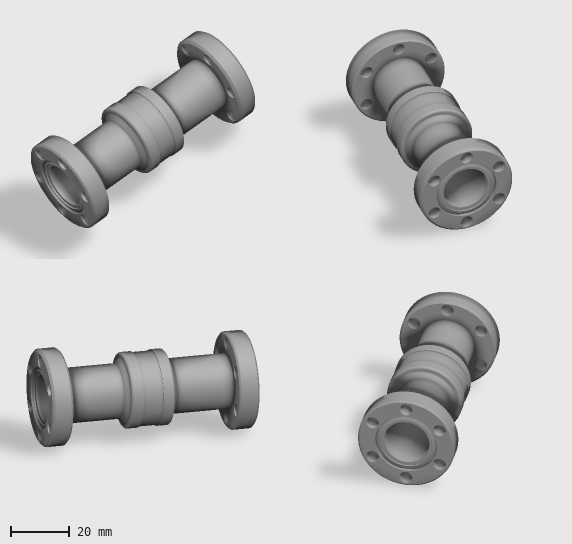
import cadquery as cq

LENGTH = 73.4
FLANGE_RADIUS = 16.9

FRONT_THICKNESS = 7.1
REAR_THICKNESS = 7.35
FRONT_CHAMFER = 0.6
REAR_CHAMFER = 0.8

RECESS_RADIUS = 10.8
RECESS_DEPTH = 1.0
KNIFE_RADIUS = 9.2
KNIFE_DEPTH = 0.45
SEAT_DEPTH = 1.0

BOLT_COUNT = 6
BOLT_CIRCLE_RADIUS = 13.5
BOLT_HOLE_DIAMETER = 4.4

TUBE_RADIUS = 9.55
BORE_RADIUS = 7.9

COLLAR_LENGTH = 15.4
BAND_WIDTH = 4.2
BAND_RADIUS = 13.1
BAND_FILLET = 0.9
WAIST_RADIUS = 12.8
CONE_LENGTH = 1.8
CONE_BASE_RADIUS = TUBE_RADIUS + CONE_LENGTH

FRONT_FACE = -LENGTH / 2
REAR_FACE = LENGTH / 2
COLLAR_CENTER = (FRONT_THICKNESS - REAR_THICKNESS) / 2


def cylinder(radius, start, length):
    """Solid cylinder along +Y, starting at the given Y position."""
    return cq.Workplane("XZ", origin=(0, start, 0)).circle(radius).extrude(-length)


def flange(start, thickness, chamfer):
    """Flange disc with both outer edges chamfered."""
    return cylinder(FLANGE_RADIUS, start, thickness).edges().chamfer(chamfer)


def collar_cone(direction):
    """Cone running from a collar end face down to the tube, towards +Y or -Y."""
    base = COLLAR_CENTER + direction * COLLAR_LENGTH / 2
    tip = base + direction * CONE_LENGTH
    outline = [(0, base), (CONE_BASE_RADIUS, base), (TUBE_RADIUS, tip), (0, tip)]
    return cq.Workplane("XY").polyline(outline).close().revolve(360, (0, 0), (0, 1))


def collar():
    """Two bands with rounded outer edges, the waist between them and the end cones."""
    start = COLLAR_CENTER - COLLAR_LENGTH / 2
    end = COLLAR_CENTER + COLLAR_LENGTH / 2
    front_band = cylinder(BAND_RADIUS, start, BAND_WIDTH).faces("<Y").edges().fillet(BAND_FILLET)
    rear_band = cylinder(BAND_RADIUS, end - BAND_WIDTH, BAND_WIDTH).faces(">Y").edges().fillet(BAND_FILLET)
    waist = cylinder(WAIST_RADIUS, start + BAND_WIDTH, COLLAR_LENGTH - 2 * BAND_WIDTH)
    body = waist.union(front_band).union(rear_band)
    return body.union(collar_cone(-1)).union(collar_cone(1))


def seal_recess(face, inward):
    """Cutter for a recess with a knife-edge ring; inward is the Y direction into the part."""
    outline = [
        (0, face),
        (RECESS_RADIUS, face),
        (RECESS_RADIUS, face + inward * RECESS_DEPTH),
        (KNIFE_RADIUS, face + inward * KNIFE_DEPTH),
        (KNIFE_RADIUS, face + inward * SEAT_DEPTH),
        (0, face + inward * SEAT_DEPTH),
    ]
    return cq.Workplane("XY").polyline(outline).close().revolve(360, (0, 0), (0, 1))


def bolt_holes():
    """Cutters for the bolt holes of both flanges, with one hole at the top."""
    start_angle = 90
    centers = cq.Workplane("XZ").polarArray(BOLT_CIRCLE_RADIUS, start_angle, 360, BOLT_COUNT)
    return centers.circle(BOLT_HOLE_DIAMETER / 2).extrude(LENGTH / 2, both=True)


flanges = flange(FRONT_FACE, FRONT_THICKNESS, FRONT_CHAMFER).union(
    flange(REAR_FACE - REAR_THICKNESS, REAR_THICKNESS, REAR_CHAMFER)
)
flanges = flanges.cut(bolt_holes())

result = flanges.union(cylinder(TUBE_RADIUS, FRONT_FACE, LENGTH)).union(collar())
result = result.cut(cylinder(BORE_RADIUS, FRONT_FACE, LENGTH))
result = result.cut(seal_recess(FRONT_FACE, 1)).cut(seal_recess(REAR_FACE, -1))